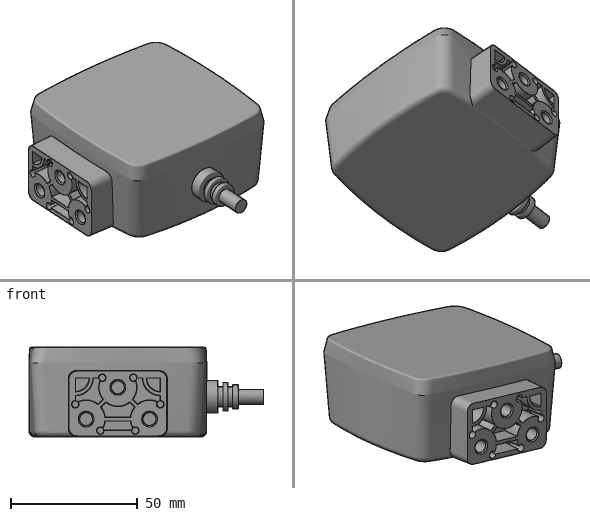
import cadquery as cq
import math

overall_length = 92.5
height = 35.3
seam_height = 29.1
body_bottom_fillet = 2.3
lid_top_fillet = 0.8
bottom_plan = (35.0, 27.7, 32.6)
seam_plan = (35.05, 29.2, 34.1)
top_plan = (34.8, 27.75, 33.3)
cover_radius = 32.5
cover_thickness = 0.9

block_front = -44.95
block_inner = -32.4
block_half_width = 19.2
block_bottom = 0.5
block_top = 25.9
block_corner_radius = 3.05
block_draft = 1.5

boss_spacing = 12.5
boss_radius = 7.4
boss_low_height = 7.0
boss_high_height = boss_low_height + boss_spacing
boss_centers = [
    (0, boss_high_height),
    (-boss_spacing, boss_low_height),
    (boss_spacing, boss_low_height),
]
screw_diameter = 5.1
screw_depth = 8.3
screw_chamfer = 0.6

pocket_half_width = 16.7
pocket_bottom = 2.5
pocket_top = 23.3
pocket_depth = 8.3
web_thickness = 1.4
corner_web_outer_radius = 6.9
relief_diameter = 3.0
relief_circle_radius = 7.2
relief_depth = 8.8
pocket_draft = 1

cable_height = 15.8
cable_start = 32.4
neck_diameter = 8.0
strain_relief_fillet = 0.3
cable_steps = [
    (12.95, 39.4),
    (neck_diameter, 41.3),
    (11.3, 43.4),
    (neck_diameter, 45.2),
    (9.6, 47.45),
    (5.9, overall_length - seam_plan[0]),
]


def plan_outline(plan, z):
    """Square of four bulged sides joined by tangent corner arcs."""
    middle, half_length, end_offset = plan
    sagitta = middle - end_offset
    side_radius = (sagitta**2 + half_length**2) / (2 * sagitta)
    normal_x = half_length / side_radius
    normal_y = (end_offset - middle + side_radius) / side_radius
    corner_radius = (end_offset - half_length) / (normal_y - normal_x)
    corner_center = half_length - corner_radius * normal_x
    corner = corner_center + corner_radius * math.sqrt(0.5)
    return (
        cq.Workplane("XY", origin=(0, 0, z))
        .moveTo(-half_length, end_offset)
        .threePointArc((0, middle), (half_length, end_offset))
        .threePointArc((corner, corner), (end_offset, half_length))
        .threePointArc((middle, 0), (end_offset, -half_length))
        .threePointArc((corner, -corner), (half_length, -end_offset))
        .threePointArc((0, -middle), (-half_length, -end_offset))
        .threePointArc((-corner, -corner), (-end_offset, -half_length))
        .threePointArc((-middle, 0), (-end_offset, half_length))
        .threePointArc((-corner, corner), (-half_length, end_offset))
        .close()
        .val()
    )


def loft_between(lower_plan, lower_z, upper_plan, upper_z):
    outlines = [plan_outline(lower_plan, lower_z), plan_outline(upper_plan, upper_z)]
    return cq.Workplane(obj=cq.Solid.makeLoft(outlines, ruled=True))


def make_housing():
    body = loft_between(bottom_plan, 0, seam_plan, seam_height)
    body = body.faces("<Z").edges().fillet(body_bottom_fillet)
    lid = loft_between(seam_plan, seam_height, top_plan, height)
    lid = lid.faces(">Z").edges().fillet(lid_top_fillet)
    return body.union(lid)


def block_plane(z=0):
    """Sketch plane on the block front; negative extrusion goes into the block."""
    return cq.Workplane(cq.Plane(origin=(0, block_front, z), xDir=(1, 0, 0), normal=(0, -1, 0)))


def make_block():
    """Block that widens slightly towards the housing."""
    block_height = block_top - block_bottom
    outline = cq.Sketch().rect(2 * block_half_width, block_height).vertices().fillet(block_corner_radius)
    return (
        block_plane((block_top + block_bottom) / 2)
        .placeSketch(outline)
        .extrude(block_front - block_inner, taper=-block_draft)
    )


def bore(points, diameter, depth, draft=0):
    """Round columns running into the block; a positive draft narrows them with depth."""
    return block_plane().pushPoints(points).circle(diameter / 2).extrude(-depth, taper=draft)


def make_pocket():
    """Rectangular recess with the bosses, the webs between them and the corner webs left standing."""
    pocket_height = pocket_top - pocket_bottom
    pocket = (
        block_plane()
        .center(0, (pocket_top + pocket_bottom) / 2)
        .rect(2 * pocket_half_width, pocket_height)
        .extrude(-pocket_depth, taper=pocket_draft)
    )
    pocket = pocket.cut(bore(boss_centers, 2 * boss_radius, pocket_depth, -pocket_draft))
    web_length = boss_spacing * math.sqrt(2)
    for side in (-1, 1):
        diagonal_web = (
            block_plane()
            .center(side * boss_spacing / 2, (boss_low_height + boss_high_height) / 2)
            .transformed(rotate=(0, 0, -side * 45))
            .rect(web_length, web_thickness)
            .extrude(-pocket_depth, taper=-pocket_draft)
        )
        corner = [(side * pocket_half_width, pocket_top)]
        corner_web_inner_radius = corner_web_outer_radius - web_thickness
        corner_web = bore(corner, 2 * corner_web_outer_radius, pocket_depth, -pocket_draft)
        corner_web = corner_web.cut(bore(corner, 2 * corner_web_inner_radius, pocket_depth, pocket_draft))
        pocket = pocket.cut(diagonal_web).cut(corner_web)
    cross_web = (
        block_plane()
        .center(0, boss_low_height)
        .rect(2 * boss_spacing, web_thickness)
        .extrude(-pocket_depth, taper=-pocket_draft)
    )
    return pocket.cut(cross_web)


def make_reliefs():
    """Round holes where the boss circles meet the pocket border."""
    top_rise = pocket_top - boss_high_height
    top_x = math.sqrt(relief_circle_radius**2 - top_rise**2)
    side_run = pocket_half_width - boss_spacing
    side_z = boss_low_height + math.sqrt(relief_circle_radius**2 - side_run**2)
    bottom_drop = boss_low_height - pocket_bottom
    bottom_x = boss_spacing - math.sqrt(relief_circle_radius**2 - bottom_drop**2)
    points = []
    for side in (-1, 1):
        points.append((side * top_x, pocket_top))
        points.append((side * pocket_half_width, side_z))
        points.append((side * bottom_x, pocket_bottom))
    return bore(points, relief_diameter, relief_depth, pocket_draft)


def make_screw_holes():
    holes = bore(boss_centers, screw_diameter, screw_depth)
    for x, z in boss_centers:
        countersink = cq.Solid.makeCone(
            screw_diameter / 2 + screw_chamfer,
            screw_diameter / 2,
            screw_chamfer,
            pnt=cq.Vector(x, block_front, z),
            dir=cq.Vector(0, 1, 0),
        )
        holes = holes.union(cq.Workplane(obj=countersink))
    return holes


def make_cable():
    """Stepped round profile turned about the cable axis, with rounded edges on the collar and rings."""
    profile = cq.Workplane("XZ", origin=(0, 0, cable_height)).moveTo(cable_start, 0)
    step_start = cable_start
    for diameter, step_end in cable_steps:
        profile = profile.lineTo(step_start, diameter / 2).lineTo(step_end, diameter / 2)
        step_start = step_end
    profile = profile.lineTo(step_start, 0).close()
    cable = profile.revolve(360, (0, 0, 0), (1, 0, 0))
    smallest_rounded = neck_diameter / 2 + strain_relief_fillet
    ring_edges = cable.edges("%CIRCLE").filter(lambda edge: edge.radius() > smallest_rounded)
    return ring_edges.fillet(strain_relief_fillet)


def cover_disc():
    """Round cover set flush into the lid."""
    return (
        cq.Workplane("XY", origin=(0, 0, height - cover_thickness))
        .circle(cover_radius)
        .extrude(cover_thickness)
    )


result = make_housing().union(make_block()).union(make_cable())
result = result.cut(make_pocket()).cut(make_reliefs()).cut(make_screw_holes())
result = result.cut(cover_disc()).union(cover_disc(), clean=False)